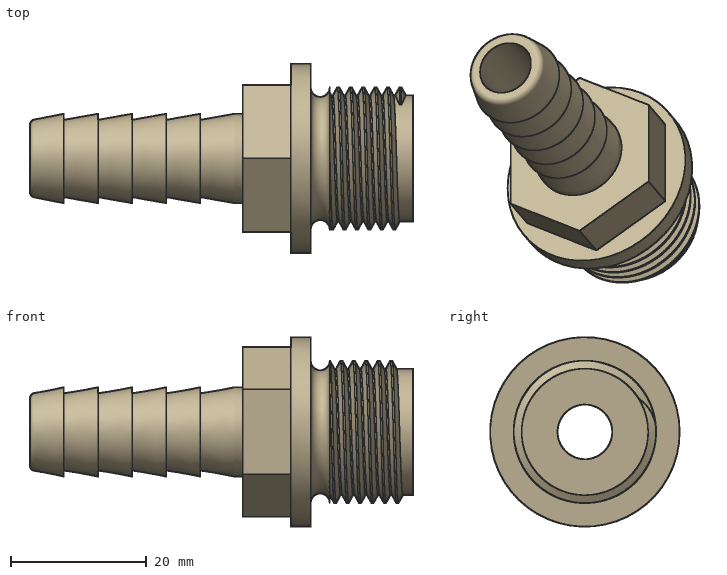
import cadquery as cq
import math

total_length = 56.4
bore_radius = 4.0

barb_count = 6
barb_pitch = 5.0
barb_crest_radius = 6.6
barb_root_radius = 5.75
barb_root_land = 0.3
tip_face_radius = 4.85
tip_round_end_x = 0.75

hex_start_x = 31.3
hex_length = 7.1
hex_across_corners = 25.0
flange_radius = 27.9 / 2
flange_start_x = hex_start_x + hex_length
flange_thickness = 2.95
flange_end_x = flange_start_x + flange_thickness

thread_root_radius = 9.3
thread_crest_radius = 10.5
relief_end_x = 44.1
relief_bottom_radius = 9.1
relief_arc_radius = (relief_end_x - flange_end_x) / 2
thread_crest_start_x = 43.1
thread_advance = 11.45
thread_turns = 6.25
thread_pitch = thread_advance / thread_turns
thread_base_width = 1.6
thread_crest_width = 0.3
thread_embed = 0.15
runout_center_y = 4.5
runout_angle = 90


def barbed_stem():
    """Row of outward-flaring barbs with a rounded tip and a plain neck."""
    round_middle = (
        tip_round_end_x * (1 - math.sqrt(0.5)),
        tip_face_radius + (barb_root_radius - tip_face_radius) * math.sqrt(0.5),
    )
    profile = (
        cq.Workplane("XY")
        .lineTo(0, tip_face_radius)
        .threePointArc(round_middle, (tip_round_end_x, barb_root_radius))
    )
    for barb in range(1, barb_count):
        crest_x = barb * barb_pitch
        profile = (
            profile.lineTo(crest_x, barb_crest_radius)
            .lineTo(crest_x, barb_root_radius)
            .lineTo(crest_x + barb_root_land, barb_root_radius)
        )
    profile = (
        profile.lineTo(barb_count * barb_pitch, barb_crest_radius)
        .lineTo(hex_start_x, barb_crest_radius)
        .lineTo(hex_start_x, 0)
        .close()
    )
    return profile.revolve(360, (0, 0, 0), (1, 0, 0))


def hexagon():
    """Spanner hexagon with corners pointing up and down."""
    return (
        cq.Workplane("YZ", origin=(hex_start_x, 0, 0))
        .transformed(rotate=(0, 0, 90))
        .polygon(6, hex_across_corners)
        .extrude(hex_length)
    )


def flange_and_spigot():
    """Round flange, half-round thread relief and plain thread core."""
    relief_top_radius = relief_bottom_radius + relief_arc_radius
    relief_middle_x = (flange_end_x + relief_end_x) / 2
    return (
        cq.Workplane("XY")
        .moveTo(flange_start_x, 0)
        .lineTo(flange_start_x, flange_radius)
        .lineTo(flange_end_x, flange_radius)
        .lineTo(flange_end_x, relief_top_radius)
        .threePointArc((relief_middle_x, relief_bottom_radius), (relief_end_x, relief_top_radius))
        .lineTo(relief_end_x, thread_root_radius)
        .lineTo(total_length, thread_root_radius)
        .lineTo(total_length, 0)
        .close()
        .revolve(360, (0, 0, 0), (1, 0, 0))
    )


def ridge_section(plane, swap_axes):
    """Closed ridge outline; swap_axes puts the radius along the plane's second axis."""
    flank_slope = (thread_base_width - thread_crest_width) / 2 / (thread_crest_radius - thread_root_radius)
    half_base = thread_base_width / 2 + flank_slope * thread_embed
    half_crest = thread_crest_width / 2
    inner_radius = thread_root_radius - thread_embed
    points = [
        (inner_radius, -half_base),
        (thread_crest_radius, -half_crest),
        (thread_crest_radius, half_crest),
        (inner_radius, half_base),
    ]
    if swap_axes:
        points = [(axial, radius) for radius, axial in points]
    return plane.polyline(points).close()


def thread_ridge():
    """Right-hand helical ridge from -Z to +Y, cut off flat at the end of the relief."""
    helix = cq.Wire.makeHelix(thread_pitch, thread_advance, thread_root_radius)
    ridge = (
        ridge_section(cq.Workplane("XZ"), swap_axes=False)
        .sweep(cq.Workplane(helix), isFrenet=True)
        .rotate((0, 0, 0), (0, 1, 0), 90)
        .translate((thread_crest_start_x, 0, 0))
    )
    trim = (
        cq.Workplane("YZ", origin=(relief_end_x, 0, 0))
        .circle(flange_radius)
        .extrude(total_length - relief_end_x)
    )
    return ridge.intersect(trim)


def thread_runout():
    """Ridge end that curves down into the thread core about an off-center axis."""
    plane = cq.Workplane("XY", origin=(thread_crest_start_x + thread_advance, 0, 0))
    section = ridge_section(plane, swap_axes=True)
    return section.revolve(runout_angle, (0, runout_center_y, 0), (1, runout_center_y, 0))


bore = cq.Workplane("YZ").circle(bore_radius).extrude(total_length)
result = barbed_stem().union(hexagon()).union(flange_and_spigot()).union(thread_ridge())
result = result.union(thread_runout()).cut(bore)